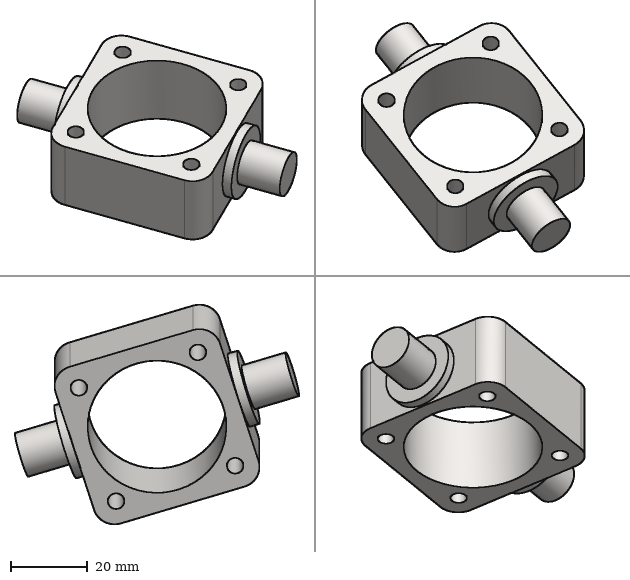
import cadquery as cq

body_width = 45.0
body_height = 21.0
corner_radius = 5.6
bore_diameter = 36.2

hole_spacing = 32.55
hole_diameter = 4.3

shaft_span = 74.0
shaft_diameter = 12.0
collar_span = 50.0
collar_diameter = 20.0


def cylinder_along_x(diameter, length):
    """Cylinder on the X axis, centred on the origin."""
    return cq.Workplane("YZ").circle(diameter / 2).extrude(length / 2, both=True)


body = (
    cq.Workplane("XY")
    .box(body_width, body_width, body_height)
    .edges("|Z")
    .fillet(corner_radius)
)

collars = cylinder_along_x(collar_diameter, collar_span)
shafts = cylinder_along_x(shaft_diameter, shaft_span)

bore = cq.Workplane("XY").circle(bore_diameter / 2).extrude(body_height / 2, both=True)
corner_holes = (
    cq.Workplane("XY")
    .rect(hole_spacing, hole_spacing, forConstruction=True)
    .vertices()
    .circle(hole_diameter / 2)
    .extrude(body_height / 2, both=True)
)

result = body.union(collars).union(shafts).cut(bore).cut(corner_holes)